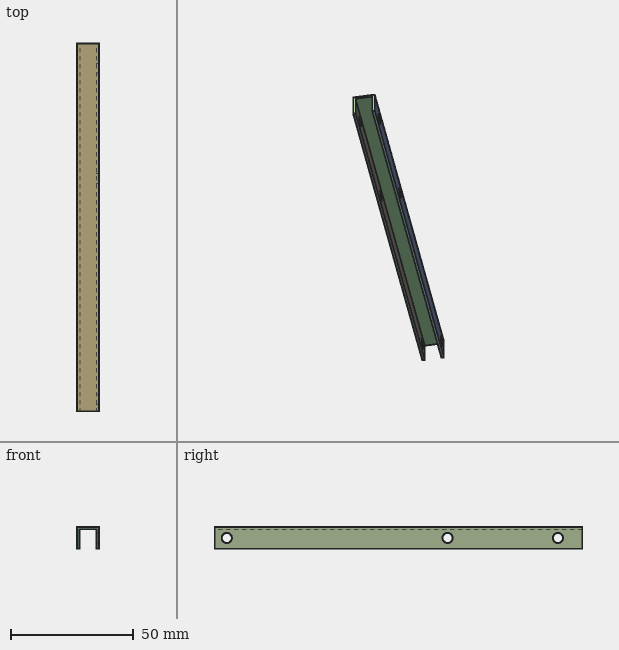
import cadquery as cq

length = 150.0
width = 9.0
height = 9.0
wall = 1.0

hole_diameter = 4.0
hole_pitch = 45.0
near_hole_inset = (length - 3 * hole_pitch) / 3
first_hole_y = -length / 2 + near_hole_inset
hole_positions = [first_hole_y + pitches * hole_pitch for pitches in (0, 2, 3)]


def make_channel():
    """U-shaped channel along Y, open at the bottom."""
    body = cq.Workplane("XY").box(width, length, height)
    groove_width = width - 2 * wall
    groove = cq.Workplane("XY").box(groove_width, length, height).translate((0, 0, -wall))
    return body.cut(groove)


def make_cross_holes():
    """Cylinders along X, at mid height, one for each hole position."""
    centers = [(y, 0) for y in hole_positions]
    return (
        cq.Workplane("YZ")
        .pushPoints(centers)
        .circle(hole_diameter / 2)
        .extrude(width, both=True)
    )


result = make_channel().cut(make_cross_holes())